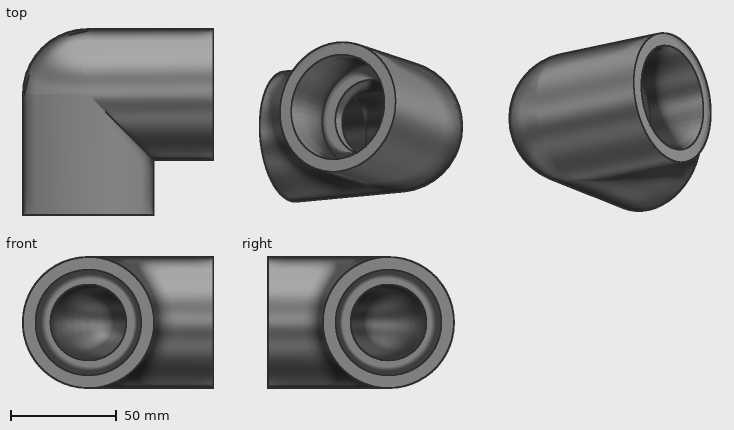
import cadquery as cq

outer_diameter = 62.0
arm_length_x = 59.0
arm_length_y = 57.0

socket_diameter = 50.0
socket_depth = 31.0

bore_diameter = 35.88
bend_radius = 22.42
bend_angle = 90.0

X_ARM = cq.Plane(origin=(0, 0, 0), xDir=(0, 1, 0), normal=(1, 0, 0))
Y_ARM = cq.Plane(origin=(0, 0, 0), xDir=(1, 0, 0), normal=(0, -1, 0))


def cylinder_along(arm, diameter, start, end):
    """Cylinder on an arm's axis between two distances from the elbow centre."""
    return cq.Workplane(arm).workplane(offset=start).circle(diameter / 2).extrude(end - start)


def make_body():
    """Two crossing cylinders with a ball that rounds the outer corner."""
    arm_x = cylinder_along(X_ARM, outer_diameter, 0, arm_length_x)
    arm_y = cylinder_along(Y_ARM, outer_diameter, 0, arm_length_y)
    corner_ball = cq.Workplane("XY").sphere(outer_diameter / 2)
    return arm_x.union(arm_y).union(corner_ball)


def make_bend():
    """Quarter torus that turns the bore from the -Y arm into the +X arm."""
    bend_start = cq.Workplane(Y_ARM).workplane(offset=bend_radius).circle(bore_diameter / 2)
    return bend_start.revolve(bend_angle, (bend_radius, 0), (bend_radius, -1))


def cut_arm_passage(body, arm, arm_length):
    """Cut the socket of one arm and the straight bore from its floor to the bend."""
    socket_floor = arm_length - socket_depth
    socket = cylinder_along(arm, socket_diameter, socket_floor, arm_length)
    straight_bore = cylinder_along(arm, bore_diameter, bend_radius, socket_floor)
    return body.cut(socket).cut(straight_bore)


elbow = make_body().cut(make_bend())
elbow = cut_arm_passage(elbow, X_ARM, arm_length_x)
result = cut_arm_passage(elbow, Y_ARM, arm_length_y)